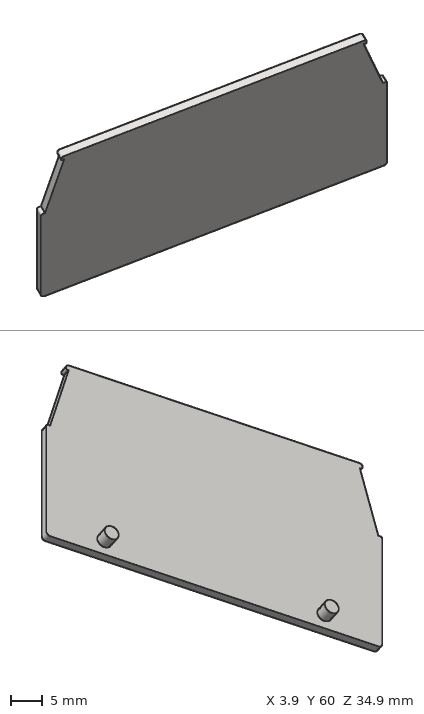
import cadquery as cq

plate_thickness = 1.5
plate_width = 60.0
plate_height = 34.85
corner_radius = 0.7

shoulder_height = 21.8
shoulder_depth = 0.7
shoulder_radius = 0.4

lip_width = 53.0
lip_thickness = 0.97
lip_overhang = 0.5
lip_radius = 0.6
lip_underside_radius = 0.35

pin_diameter = 2.5
pin_length = 2.4
pin_spacing = 39.3
pin_height = 2.65


def round_corners(body, y, z, radius):
    """Round the pair of X-parallel edges at +y and -y, at height z."""
    for side in (-1, 1):
        corner = cq.selectors.NearestToPointSelector((plate_thickness / 2, side * y, z))
        body = body.edges("|X").edges(corner).fillet(radius)
    return body


def make_plate():
    """Plate with rounded bottom corners, stepped shoulders and a lip rounded above and below."""
    half_width = plate_width / 2
    half_lip = lip_width / 2
    lip_bottom = plate_height - lip_thickness
    right_side = [
        (half_width, 0),
        (half_width, shoulder_height),
        (half_width - shoulder_depth, shoulder_height),
        (half_lip - lip_overhang, lip_bottom),
        (half_lip, lip_bottom),
        (half_lip, plate_height),
    ]
    left_side = [(-y, z) for y, z in reversed(right_side)]
    plate = cq.Workplane("YZ").polyline(right_side + left_side).close().extrude(plate_thickness)

    plate = round_corners(plate, half_width, 0, corner_radius)
    plate = round_corners(plate, half_width, shoulder_height, shoulder_radius)
    plate = round_corners(plate, half_lip, plate_height, lip_radius)
    return round_corners(plate, half_lip, lip_bottom, lip_underside_radius)


def make_pins():
    """Round pins standing out from the -X face near the bottom edge."""
    pin_centers = [(-pin_spacing / 2, pin_height), (pin_spacing / 2, pin_height)]
    return cq.Workplane("YZ").pushPoints(pin_centers).circle(pin_diameter / 2).extrude(-pin_length)


result = make_plate().union(make_pins())